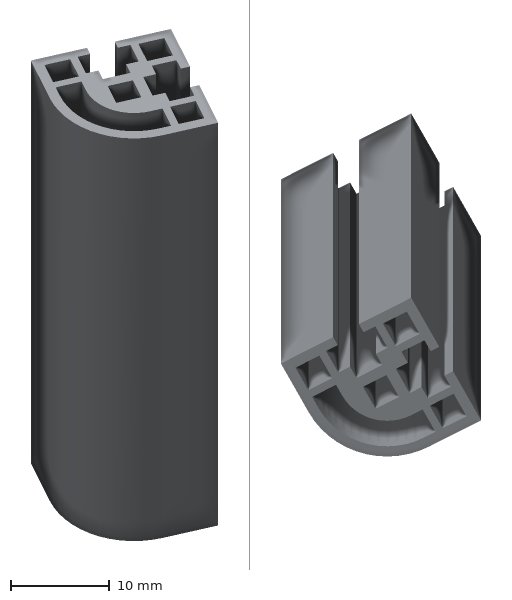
import cadquery as cq

length = 55.0
side = 15.0
half = side / 2
corner_radius = 9.0

wall = 1.1
cell = 2.75
web = 0.8
core_cell = 2.7
cell_offset = half - wall - cell / 2

slot_mouth = 2.95
slot_lip = 1.0
slot_inner_width = side - 2 * (wall + cell + web)
slot_inner_depth = 3.65
slot_depth = 5.0

cavity_outer_radius = corner_radius - wall
cavity_inner_radius = cavity_outer_radius - cell
arc_center = half - corner_radius
cavity_end = half - wall - cell - web


def prism(x_size, y_size, x, y):
    """Full-length rectangular prism centred at (x, y)."""
    return cq.Workplane("XY").center(x, y).rect(x_size, y_size).extrude(length)


def rounded_square(low_x, high_x, radius):
    """Square spanning low_x to high_x, mirrored in Y, rounded at its +X -Y corner."""
    size = high_x - low_x
    center = (low_x + high_x) / 2
    return prism(size, size, center, -center).edges("|Z and >X and <Y").fillet(radius)


def t_slot():
    """T-slot opening through the +Y face."""
    mouth = prism(slot_mouth, slot_depth, 0, half - slot_depth / 2)
    inner_height = slot_inner_depth - slot_lip
    inner = prism(slot_inner_width, inner_height, 0, half - slot_lip - inner_height / 2)
    return mouth.union(inner)


def curved_cavity():
    """L-shaped channel following the rounded corner, closed by a web at each end."""
    outer = rounded_square(-cavity_end, half - wall, cavity_outer_radius)
    inner = rounded_square(-half, arc_center + cavity_inner_radius, cavity_inner_radius)
    return outer.cut(inner)


result = rounded_square(-half, half, corner_radius)

slot = t_slot()
result = result.cut(slot)
result = result.cut(slot.rotate((0, 0, 0), (0, 0, 1), 90))

for x_sign, y_sign in [(-1, 1), (1, 1), (-1, -1)]:
    result = result.cut(prism(cell, cell, x_sign * cell_offset, y_sign * cell_offset))
result = result.cut(prism(core_cell, core_cell, 0, 0))

result = result.cut(curved_cavity())